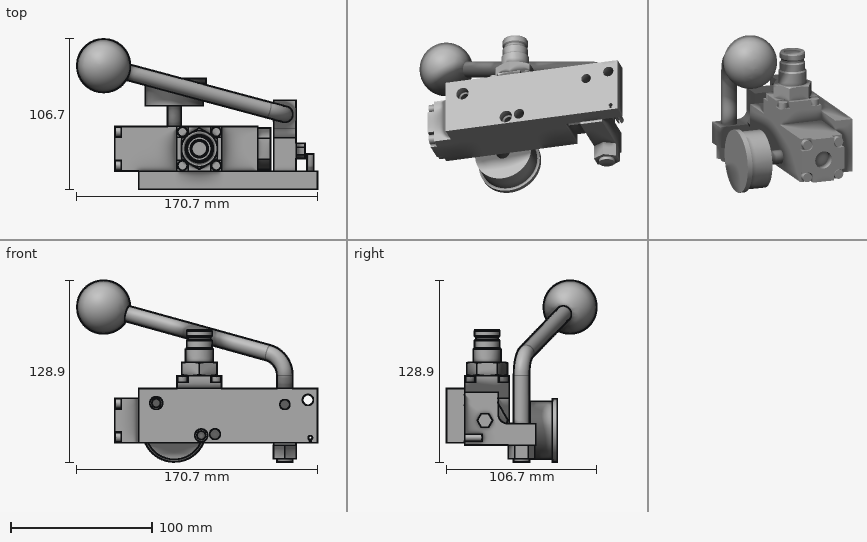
import cadquery as cq
import math


OVERALL_LENGTH = 170.7

PLATE_LENGTH = 126.8
PLATE_DEPTH = 13.0
PLATE_HEIGHT = 38.5
COUNTERBORE_DIA = 9.0
COUNTERBORE_DEPTH = 6.8
SCREW_HOLE_DIA = 6.1
SCREW_HOLES = [(12.5, 28.2), (44.4, 5.3)]
PLAIN_HOLES = [(54.1, 6.1, 7.5), (103.6, 27.1, 7.0), (120.0, 30.4, 7.5)]

PIN_X = 121.7
PIN_Z = 3.5
PIN_DIA = 5.0
PIN_BORE = 2.7
PIN_SLIT = 1.2
PIN_REACH = 12.3

BODY_SIDE = 31.7
BODY_LEFT = -17.0
BODY_RIGHT = 84.5
BODY_AXIS = BODY_SIDE / 2
PORT_DIA = 12.6
PORT_DEPTH = 6.5
BLOCK_LEFT = 27.1
BLOCK_HEIGHT = 15.9
BLOCK_TOP = BODY_SIDE + BLOCK_HEIGHT
PLUG_FLATS = 25.6
PLUG_LENGTH = 9.0

SCREW_DIA = 6.7
SCREW_INSET = 4.0
SCREW_RECESS = 0.5
POCKET_DIA = 7.9
POCKET_DEPTH = 4.6

CARTRIDGE_X = BLOCK_LEFT + BODY_SIDE / 2
HEX_FLATS = 25.3
HEX_HEIGHT = 9.5
HEX_CHAMFER = 0.7
HEX_TOP_DIA = 25.5
BARREL_DIA = 19.8
BARREL_HEIGHT = 9.0
NECK_DIA = 18.1
GROOVE_DIA = 16.0
TIP_DIA = 16.9
CONE_HEIGHT = 1.0
NECK_HEIGHT = 5.1
GROOVE_FLOOR = 1.4
COLLAR_HEIGHT = 3.4
RECESS_DIA = 12.6
RECESS_FLOOR_DIA = 10.8
RECESS_DEPTH = 0.7

GAUGE_X = 25.3
GAUGE_Z = 8.9
STEM_DIA = 9.9
CASE_DIA = 41.3
CASE_START = 46.3
BEZEL_DIA = 45.0
BEZEL_START = 62.1
GAUGE_END = 65.7

BRACKET_LEFT = 95.6
BRACKET_WIDTH = 16.0
BRACKET_BOTTOM = -1.7
BRACKET_DEPTH = 50.4
BRACKET_TOP = 35.8
WALL_DEPTH = 23.7
ARM_TOP = 13.7
BRACKET_FILLET = 6.7
BOLT_Y = 14.3
BOLT_FLATS = 9.4
BOLT_LENGTH = 6.3

LEVER_X = BRACKET_LEFT + BRACKET_WIDTH / 2
LEVER_Y = 40.3
LEVER_DIA = 11.5
LEVER_BOTTOM = -13.7
LEVER_CORNER_Z = 60.6
LEVER_SLOPE = 15.0
LEVER_TURN = 15.0
BEND_RADIUS = 16.7
BALL_DIA = 38.0
BALL_REACH = OVERALL_LENGTH - PLATE_LENGTH + LEVER_X - BALL_DIA / 2
LEVER_LENGTH = BALL_REACH / (math.cos(math.radians(LEVER_TURN)) * math.cos(math.radians(LEVER_SLOPE)))
NUT_FLATS = 16.4
NUT_HEIGHT = 9.7


def box(x0, x1, y0, y1, z0, z1):
    return cq.Workplane("XY").box(x1 - x0, y1 - y0, z1 - z0, centered=False).translate((x0, y0, z0))


def cylinder_y(x, z, diameter, y0, y1):
    return cq.Workplane("XZ", origin=(x, y0, z)).circle(diameter / 2).extrude(y0 - y1)


def hexagon(plane, origin, flats, length):
    """Hexagonal prism with two corners on the plane's local X axis."""
    corners = flats / math.cos(math.radians(30))
    return cq.Workplane(plane, origin=origin).polygon(6, corners).extrude(length)


def make_plate():
    plate = box(0, PLATE_LENGTH, -PLATE_DEPTH, 0, 0, PLATE_HEIGHT)
    for x, z in SCREW_HOLES:
        plate = plate.cut(cylinder_y(x, z, SCREW_HOLE_DIA, -PLATE_DEPTH, 0))
        plate = plate.cut(cylinder_y(x, z, COUNTERBORE_DIA, -PLATE_DEPTH, COUNTERBORE_DEPTH - PLATE_DEPTH))
    for x, z, diameter in PLAIN_HOLES:
        plate = plate.cut(cylinder_y(x, z, diameter, -PLATE_DEPTH, 0))
    return plate


def add_spring_pin(plate):
    radius = PIN_DIA / 2
    bore = cylinder_y(PIN_X, PIN_Z, PIN_BORE, -PLATE_DEPTH, PIN_REACH)
    slit = box(PIN_X - PIN_SLIT / 2, PIN_X + PIN_SLIT / 2, -PLATE_DEPTH, PIN_REACH, PIN_Z - radius, PIN_Z)
    pin = cylinder_y(PIN_X, PIN_Z, PIN_DIA, -PLATE_DEPTH, PIN_REACH)
    return plate.union(pin).cut(bore).cut(slit)


def corner_points():
    offset = BODY_SIDE / 2 - SCREW_INSET
    return [(sx * offset, sy * offset) for sx in (-1, 1) for sy in (-1, 1)]


def set_corner_screws(solid, face):
    """Sink four screws into the corners of a square face; the face plane points outwards."""
    for u, v in corner_points():
        corner_u = math.copysign(BODY_SIDE / 2, u)
        corner_v = math.copysign(BODY_SIDE / 2, v)
        inner_u = u - math.copysign(POCKET_DIA / 2, u)
        inner_v = v - math.copysign(POCKET_DIA / 2, v)
        pocket = cq.Workplane(face).center(u, v).circle(POCKET_DIA / 2).extrude(-POCKET_DEPTH)
        for start_u, start_v in ((inner_u, v), (u, inner_v)):
            opening = cq.Workplane(face).center((start_u + corner_u) / 2, (start_v + corner_v) / 2)
            opening = opening.rect(abs(corner_u - start_u), abs(corner_v - start_v))
            pocket = pocket.union(opening.extrude(-POCKET_DEPTH))
        screw = cq.Workplane(face).workplane(offset=-POCKET_DEPTH).center(u, v)
        screw = screw.circle(SCREW_DIA / 2).extrude(POCKET_DEPTH - SCREW_RECESS)
        solid = solid.cut(pocket).union(screw)
    return solid


def make_body():
    body = box(BODY_LEFT, BODY_RIGHT, 0, BODY_SIDE, 0, BODY_SIDE)
    end_face = cq.Plane(origin=(BODY_LEFT, BODY_AXIS, BODY_AXIS), xDir=(0, -1, 0), normal=(-1, 0, 0))
    body = body.cut(cq.Workplane(end_face).circle(PORT_DIA / 2).extrude(-PORT_DEPTH))
    body = set_corner_screws(body, end_face)
    block = box(BLOCK_LEFT, BLOCK_LEFT + BODY_SIDE, 0, BODY_SIDE, BODY_SIDE, BLOCK_TOP)
    block_face = cq.Plane(origin=(CARTRIDGE_X, BODY_AXIS, BLOCK_TOP))
    block = set_corner_screws(block, block_face)
    plug = hexagon("YZ", (BODY_RIGHT, BODY_AXIS, BODY_AXIS), PLUG_FLATS, PLUG_LENGTH)
    return body.union(block).union(plug)


def make_cartridge():
    hex_prism = hexagon("XY", (0, 0, 0), HEX_FLATS, HEX_HEIGHT).rotate((0, 0, 0), (0, 0, 1), 90)
    face_radius = HEX_TOP_DIA / 2
    corner_radius = HEX_FLATS / 2 / math.cos(math.radians(30))
    hex_envelope = (
        cq.Workplane("XZ")
        .polyline([
            (0, 0),
            (face_radius, 0),
            (corner_radius, HEX_CHAMFER),
            (corner_radius, HEX_HEIGHT - HEX_CHAMFER),
            (face_radius, HEX_HEIGHT),
            (0, HEX_HEIGHT),
        ])
        .close()
        .revolve(360, (0, 0), (0, 1))
    )
    steps = [
        (BARREL_DIA, BARREL_HEIGHT),
        (NECK_DIA, CONE_HEIGHT),
        (NECK_DIA, NECK_HEIGHT),
        (GROOVE_DIA, CONE_HEIGHT),
        (GROOVE_DIA, GROOVE_FLOOR),
        (NECK_DIA, CONE_HEIGHT),
        (NECK_DIA, COLLAR_HEIGHT),
        (TIP_DIA, CONE_HEIGHT),
    ]
    z = HEX_HEIGHT
    profile = [(0, z), (BARREL_DIA / 2, z)]
    for diameter, rise in steps:
        z += rise
        profile.append((diameter / 2, z))
    profile += [(RECESS_DIA / 2, z), (RECESS_FLOOR_DIA / 2, z - RECESS_DEPTH), (0, z - RECESS_DEPTH)]
    turned = cq.Workplane("XZ").polyline(profile).close().revolve(360, (0, 0), (0, 1))
    return hex_prism.intersect(hex_envelope).union(turned).translate((CARTRIDGE_X, BODY_AXIS, BLOCK_TOP))


def make_gauge():
    stem = cylinder_y(GAUGE_X, GAUGE_Z, STEM_DIA, BODY_SIDE, CASE_START)
    case = cylinder_y(GAUGE_X, GAUGE_Z, CASE_DIA, CASE_START, BEZEL_START)
    bezel = cylinder_y(GAUGE_X, GAUGE_Z, BEZEL_DIA, BEZEL_START, GAUGE_END)
    return stem.union(case).union(bezel)


def make_bracket():
    profile = (
        cq.Workplane("YZ", origin=(BRACKET_LEFT, 0, 0))
        .moveTo(0, BRACKET_BOTTOM)
        .lineTo(BRACKET_DEPTH, BRACKET_BOTTOM)
        .lineTo(BRACKET_DEPTH, ARM_TOP)
        .lineTo(WALL_DEPTH + BRACKET_FILLET, ARM_TOP)
        .radiusArc((WALL_DEPTH, ARM_TOP + BRACKET_FILLET), BRACKET_FILLET)
        .lineTo(WALL_DEPTH, BRACKET_TOP)
        .lineTo(0, BRACKET_TOP)
        .close()
    )
    bolt_origin = (BRACKET_LEFT + BRACKET_WIDTH, BOLT_Y, BODY_AXIS)
    bolt_head = hexagon("YZ", bolt_origin, BOLT_FLATS, BOLT_LENGTH)
    return profile.extrude(BRACKET_WIDTH).union(bolt_head)


def make_lever():
    """Lever built in the XZ plane leaning towards -X, then turned about its upright axis."""
    slope = math.radians(LEVER_SLOPE)
    bend_angle = math.radians(90 - LEVER_SLOPE)
    tangent = BEND_RADIUS * math.tan(bend_angle / 2)
    bend_start = LEVER_CORNER_Z - tangent
    bend_mid = (
        -BEND_RADIUS * (1 - math.cos(bend_angle / 2)),
        bend_start + BEND_RADIUS * math.sin(bend_angle / 2),
    )
    bend_end = (-tangent * math.cos(slope), LEVER_CORNER_Z + tangent * math.sin(slope))
    ball = (-LEVER_LENGTH * math.cos(slope), LEVER_CORNER_Z + LEVER_LENGTH * math.sin(slope))
    path = (
        cq.Workplane("XZ")
        .moveTo(0, LEVER_BOTTOM)
        .lineTo(0, bend_start)
        .threePointArc(bend_mid, bend_end)
        .lineTo(*ball)
    )
    rod = cq.Workplane("XY", origin=(0, 0, LEVER_BOTTOM)).circle(LEVER_DIA / 2).sweep(path)
    knob = cq.Workplane("XY").sphere(BALL_DIA / 2).translate((ball[0], 0, ball[1]))
    lever = rod.union(knob).rotate((0, 0, 0), (0, 0, 1), -LEVER_TURN)
    nut = hexagon("XY", (0, 0, BRACKET_BOTTOM), NUT_FLATS, -NUT_HEIGHT).rotate((0, 0, 0), (0, 0, 1), 90)
    return lever.union(nut).translate((LEVER_X, LEVER_Y, 0))


result = add_spring_pin(make_plate())
for component in (make_body(), make_cartridge(), make_gauge(), make_bracket(), make_lever()):
    result = result.union(component)